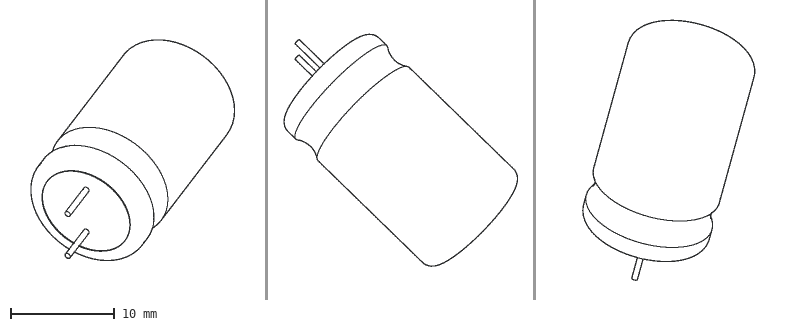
import cadquery as cq

can_diameter = 12.62
can_length = 20.5
edge_radius = 0.98

groove_center = 3.6
groove_width = 3.05
groove_depth = 0.5

recess_diameter = 9.45
recess_depth = 0.1

overall_length = 24.5
lead_diameter = 0.6
lead_spacing = 5.27
lead_length = overall_length - can_length


def make_can():
    """Revolve the can's half profile, with the crimp as an arc, about the Y axis."""
    radius = can_diameter / 2
    groove_start = groove_center - groove_width / 2
    groove_end = groove_center + groove_width / 2
    profile = (
        cq.Workplane("XY")
        .lineTo(radius, 0)
        .lineTo(radius, groove_start)
        .threePointArc((radius - groove_depth, groove_center), (radius, groove_end))
        .lineTo(radius, can_length)
        .lineTo(0, can_length)
        .close()
    )
    can = profile.revolve(360, (0, 0), (0, 1))
    return can.faces("<Y or >Y").edges().fillet(edge_radius)


def base_cylinder(diameter, start, end, height=0):
    """Cylinder along Y from start to end, with its axis at Z = height."""
    base_plane = cq.Workplane("XZ", origin=(0, end, height))
    return base_plane.circle(diameter / 2).extrude(end - start)


recess = base_cylinder(recess_diameter, 0, recess_depth)
result = make_can().cut(recess)

for side in (-1, 1):
    lead = base_cylinder(lead_diameter, -lead_length, recess_depth, side * lead_spacing / 2)
    result = result.union(lead)